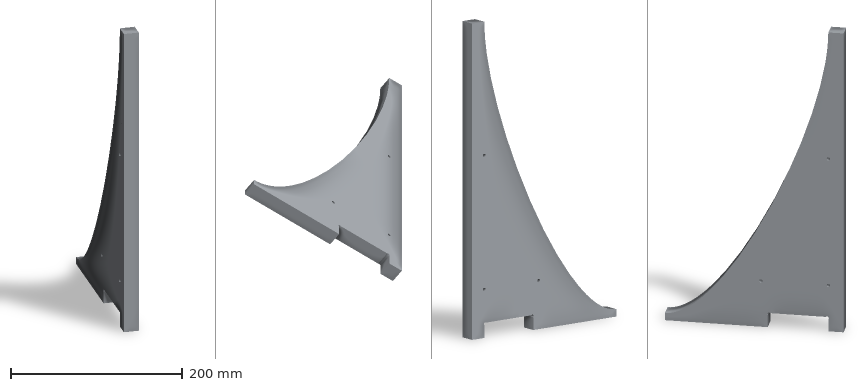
import cadquery as cq
import math

base_length = 212.0
height = 378.0
thickness = 18.0

tip_height = 9.0
top_width = thickness

tip_handle = 73.0
top_handle = 114.0

slot_width = 72.0
slot_depth = thickness
slot_right = base_length - thickness
slot_left = slot_right - slot_width

relief_diameter = 4.0
relief_inset = relief_diameter / 2 / math.sqrt(2)

hole_diameter = 4.0
hole_right_x = slot_right
hole_above_slot = 40.0
hole_low_z = slot_depth + hole_above_slot
hole_spacing_x = 80.0
hole_spacing_z = 160.0


def gusset_plate():
    """Triangular plate with a concave sloping edge."""
    top_left_x = base_length - top_width
    curve = [
        (0, tip_height),
        (tip_handle, tip_height),
        (top_left_x, height - top_handle),
        (top_left_x, height),
    ]
    return (
        cq.Workplane("XZ")
        .lineTo(0, tip_height)
        .bezier(curve, includeCurrent=False)
        .lineTo(base_length, height)
        .lineTo(base_length, 0)
        .close()
        .extrude(-thickness)
    )


def through_pins(centres, diameter):
    """Cylinders through the full plate thickness at the given (x, z) centres."""
    return cq.Workplane("XZ").pushPoints(centres).circle(diameter / 2).extrude(-thickness)


def base_slot():
    """Rectangular slot with a round relief in each upper corner."""
    slot = cq.Workplane("XY").box(slot_width, thickness, slot_depth, centered=False)
    slot = slot.translate((slot_left, 0, 0))
    relief_z = slot_depth - relief_inset
    relief_centres = [
        (slot_left + relief_inset, relief_z),
        (slot_right - relief_inset, relief_z),
    ]
    return slot.union(through_pins(relief_centres, relief_diameter))


hole_centres = [
    (hole_right_x, hole_low_z),
    (hole_right_x - hole_spacing_x, hole_low_z),
    (hole_right_x, hole_low_z + hole_spacing_z),
]

result = gusset_plate().cut(base_slot()).cut(through_pins(hole_centres, hole_diameter))